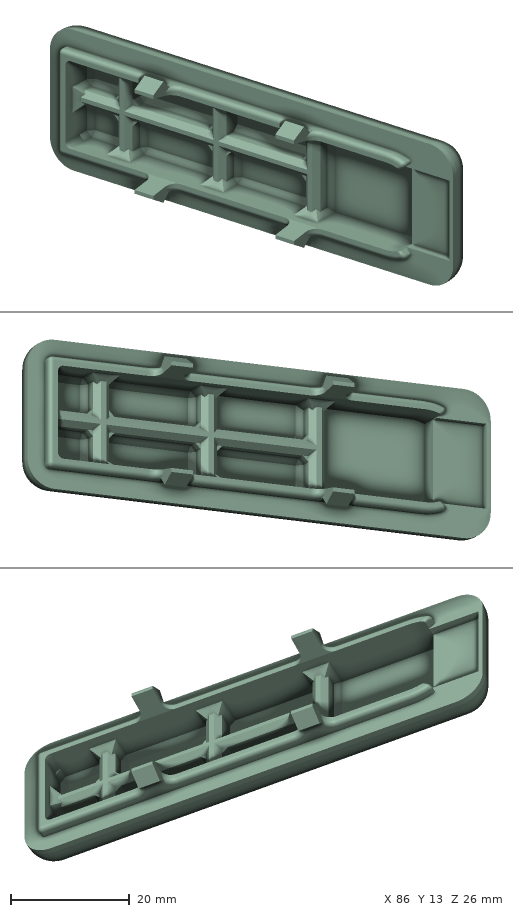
import cadquery as cq
import math

plate_length = 86.0
plate_height = 26.0
plate_depth = 6.0
edge_radius = 5.0
shell = 1.0

rail_left = -39.8
rail_half_height = 9.7
rail_wall = 1.6
rail_rise = 1.9
rail_round = 0.8
bend_start_x = 30.0
bend_radius = 10.0
rail_tip_x = 34.5
rail_tip_round = 0.5
inner_bend_radius = bend_radius - rail_wall

cavity_left = rail_left + rail_wall
cavity_half_height = rail_half_height - rail_wall
cavity_corner_radius = 1.0
cavity_floor_y = plate_depth - shell
recess_left = 33.0
recess_right = 42.2
recess_half_height = 7.4
recess_depth = 1.5

rib_chamfer = 1.0
rib_top_y = 1.0
cross_rib_xs = (-28.4, -8.4, 11.6)
cross_rib_top = 1.0
long_rib_top = 0.8
cross_rib_half = cross_rib_top / 2 + rib_chamfer
long_rib_half = long_rib_top / 2 + rib_chamfer

clip_xs = (-17.5, 12.5)
clip_width = 4.0
clip_root_radius = 1.9
clip_length = 7.0
barb_start = 2.75
barb_peak = 4.25
barb_half_height = 11.2
clip_tip_inner = 8.95
clip_tip_outer = 9.65


def prism_along_y(outline, y_from, y_to):
    """Extrude an XZ outline from one Y level to another."""
    return outline.extrude(y_from - y_to).translate((0, y_from, 0))


def xz_box(x_from, x_to, z_from, z_to, y_from, y_to):
    size = (x_to - x_from, y_to - y_from, z_to - z_from)
    return cq.Workplane("XY").box(*size, centered=False).translate((x_from, y_from, z_from))


def both_sides(upper):
    """Join a feature of the +Z half with its mirror image in the -Z half."""
    return upper.union(upper.mirror("XY"))


def bend_point(radius, angle):
    """Point on an arm's bend, at an angle measured from the start of the bend."""
    bend_centre_z = rail_half_height - bend_radius
    return (bend_start_x + radius * math.sin(angle), bend_centre_z + radius * math.cos(angle))


def bend_angle_at(radius, x):
    """Angle from the start of the bend at which an arc of this radius reaches a given X."""
    return math.asin((x - bend_start_x) / radius)


def make_plate():
    plate = cq.Workplane("XY").box(plate_length, plate_depth, plate_height)
    plate = plate.translate((0, plate_depth / 2, 0))
    return plate.edges("|Y").fillet(edge_radius).faces(">Y").edges().fillet(edge_radius)


def make_cavity():
    end_angle = bend_angle_at(inner_bend_radius, recess_left)
    end_x, end_z = bend_point(inner_bend_radius, end_angle)
    mid_x, mid_z = bend_point(inner_bend_radius, end_angle / 2)
    outline = (
        cq.Workplane("XZ")
        .moveTo(cavity_left, -cavity_half_height)
        .lineTo(bend_start_x, -cavity_half_height)
        .threePointArc((mid_x, -mid_z), (end_x, -end_z))
        .lineTo(end_x, end_z)
        .threePointArc((mid_x, mid_z), (bend_start_x, cavity_half_height))
        .lineTo(cavity_left, cavity_half_height)
        .close()
    )
    cavity = prism_along_y(outline, -rail_rise, cavity_floor_y)
    return cavity.edges("|Y and <X").fillet(cavity_corner_radius)


def make_recess():
    return xz_box(recess_left, recess_right, -recess_half_height, recess_half_height, 0, recess_depth)


def make_rail_arm():
    """Upper arm of the rail with the clip roots swept up from its top edge."""
    outer_angle = bend_angle_at(bend_radius, rail_tip_x)
    inner_angle = bend_angle_at(inner_bend_radius, recess_left)
    outline = (
        cq.Workplane("XZ")
        .moveTo(rail_left, 0)
        .lineTo(rail_left, rail_half_height)
        .lineTo(bend_start_x, rail_half_height)
        .threePointArc(bend_point(bend_radius, outer_angle / 2), bend_point(bend_radius, outer_angle))
        .lineTo(*bend_point(inner_bend_radius, inner_angle))
        .threePointArc(bend_point(inner_bend_radius, inner_angle / 2), (bend_start_x, cavity_half_height))
        .lineTo(cavity_left, cavity_half_height)
        .lineTo(cavity_left, 0)
        .close()
    )
    arm = prism_along_y(outline, -rail_rise, 0)
    arm = arm.edges("|Y").edges("<X").edges(">Z").fillet(rail_round)
    inner_corner = (cavity_left, -rail_rise / 2, cavity_half_height)
    inner_edge = cq.selectors.NearestToPointSelector(inner_corner)
    arm = arm.edges("|Y").edges(inner_edge).fillet(cavity_corner_radius)
    for clip_x in clip_xs:
        arm = arm.union(make_clip_root(clip_x))
    arm = round_outer_edge(arm)
    return arm.edges("|Y").edges(">X").fillet(rail_tip_round)


def round_outer_edge(arm):
    """Round the arm's outer top edge, from the left wall along the clip roots to the tip."""
    margin = rail_round / 8
    outer_zone = cq.selectors.BoxSelector(
        (-plate_length, -rail_rise - clip_root_radius + margin, cavity_half_height + margin),
        (plate_length, -rail_rise + margin, plate_height),
    )
    arm_top = arm.edges("not |Z").edges(outer_zone)
    left_top = arm.edges("|Z").edges("<X").edges("<Y")
    return arm_top.add(left_top).fillet(rail_round)


def make_clip_root(clip_x):
    """Web under a clip, flared at both sides by arcs that start on the rail top."""
    half = clip_width / 2
    root_y = -rail_rise - clip_root_radius
    sweep = clip_root_radius * (1 - math.sqrt(0.5))
    outline = (
        cq.Workplane("XY", origin=(clip_x, 0, cavity_half_height))
        .moveTo(-half - clip_root_radius, -rail_rise)
        .threePointArc((-half - sweep, -rail_rise - sweep), (-half, root_y))
        .lineTo(half, root_y)
        .threePointArc((half + sweep, -rail_rise - sweep), (half + clip_root_radius, -rail_rise))
        .close()
    )
    return outline.extrude(rail_wall)


def make_clip(clip_x):
    """Barbed clip on the upper arm; its inner face leans outward from the rail top to the tip."""
    rail_mid_y = -rail_rise / 2
    outline = (
        cq.Workplane("YZ", origin=(clip_x - clip_width / 2, 0, 0))
        .moveTo(rail_mid_y, cavity_half_height)
        .lineTo(-rail_rise, cavity_half_height)
        .lineTo(-clip_length, clip_tip_inner)
        .lineTo(-clip_length, clip_tip_outer)
        .lineTo(-barb_peak, barb_half_height)
        .lineTo(-barb_start, rail_half_height)
        .lineTo(rail_mid_y, rail_half_height)
        .close()
    )
    return outline.extrude(clip_width)


def make_rail_arm_with_clips():
    arm = make_rail_arm()
    for clip_x in clip_xs:
        arm = arm.union(make_clip(clip_x))
    return arm.cut(make_clip_relief())


def make_clip_relief():
    """Wedge above the rail top that leans the inside of the clip roots outward."""
    outline = (
        cq.Workplane("YZ", origin=(-plate_length / 2, 0, 0))
        .moveTo(-rail_rise, cavity_half_height - rail_wall)
        .lineTo(-rail_rise, cavity_half_height)
        .lineTo(-clip_length, clip_tip_inner)
        .lineTo(-clip_length, cavity_half_height - rail_wall)
        .close()
    )
    return outline.extrude(plate_length)


def make_rib(length, half_width):
    """Rib running along +X from the origin: a flat top with a chamfer down to each side."""
    flat_half = half_width - rib_chamfer
    side_y = rib_top_y + rib_chamfer
    outline = (
        cq.Workplane("YZ")
        .moveTo(cavity_floor_y, -half_width)
        .lineTo(side_y, -half_width)
        .lineTo(rib_top_y, -flat_half)
        .lineTo(rib_top_y, flat_half)
        .lineTo(side_y, half_width)
        .lineTo(cavity_floor_y, half_width)
        .close()
    )
    return outline.extrude(length)


def make_flare(half_width):
    """Bevelled flare where a rib meets a wall.

    The wall lies on Z = 0 with the rib running to -Z along X = 0. The flare widens toward the
    wall at 45 degrees in plan and climbs the wall at 45 degrees above the rib top.
    """
    flat_half = half_width - rib_chamfer
    wall_half = half_width + rib_chamfer
    reach = 2 * rib_chamfer
    plan = (
        cq.Workplane("XZ")
        .moveTo(-wall_half, 0)
        .lineTo(wall_half, 0)
        .lineTo(flat_half, -reach)
        .lineTo(-flat_half, -reach)
        .close()
    )
    wall_top_y = rib_top_y - rib_chamfer
    slope = (
        cq.Workplane("YZ", origin=(-wall_half, 0, 0))
        .moveTo(wall_top_y, 0)
        .lineTo(wall_top_y + reach, -reach)
        .lineTo(cavity_floor_y, -reach)
        .lineTo(cavity_floor_y, 0)
        .close()
        .extrude(2 * wall_half)
    )
    return prism_along_y(plan, wall_top_y, cavity_floor_y).intersect(slope)


def make_cell_edging(x_from, x_to, row_side, has_bare_edges=False):
    """Chamfer material along the floor and in the upright corners of one cell between the ribs.

    A cell with bare edges has no floor chamfer on its left side and along the rail.
    """
    side_y = rib_top_y + rib_chamfer
    cell = xz_box(x_from, x_to, long_rib_half, cavity_half_height, side_y, cavity_floor_y)
    if has_bare_edges:
        hollow = cell.edges("|Y and <Z and >X").chamfer(rib_chamfer)
        hollow = hollow.faces(">Y").edges("not (<X or >Z)").chamfer(rib_chamfer)
    else:
        hollow = cell.edges("|Y or >Y").chamfer(rib_chamfer)
    edging = cell.cut(hollow)
    return edging if row_side > 0 else edging.mirror("XY")


def make_ribs():
    """Long rib from the left wall to the last cross rib, the cross ribs and their flared ends."""
    long_rib = make_rib(cross_rib_xs[-1] - cavity_left, long_rib_half)
    long_flare = make_flare(long_rib_half).rotate((0, 0, 0), (0, 1, 0), -90)
    ribs = long_rib.union(long_flare).translate((cavity_left, 0, 0))
    for rib_x in cross_rib_xs:
        rib = make_rib(2 * cavity_half_height, cross_rib_half).rotate((0, 0, 0), (0, 1, 0), 90)
        flare = make_flare(cross_rib_half).translate((rib_x, 0, cavity_half_height))
        ribs = ribs.union(rib.translate((rib_x, 0, cavity_half_height)))
        ribs = ribs.union(both_sides(flare))
    return ribs


def make_all_edging():
    """Edging of both rows of cells, from the left wall to the last cross rib."""
    edging = cq.Workplane("XY")
    cell_left = cavity_left
    for rib_x in cross_rib_xs:
        cell_right = rib_x - cross_rib_half
        for row_side in (1, -1):
            has_bare_edges = rib_x == cross_rib_xs[-1] and row_side > 0
            edging = edging.add(make_cell_edging(cell_left, cell_right, row_side, has_bare_edges))
        cell_left = rib_x + cross_rib_half
    return edging.combine()


def make_open_floor_edging():
    """Floor chamfer on the +X side of the last cross rib, which faces the open end."""
    side_x = cross_rib_xs[-1] + cross_rib_half
    outline = (
        cq.Workplane("XY", origin=(0, 0, -cavity_half_height))
        .moveTo(side_x, cavity_floor_y)
        .lineTo(side_x, cavity_floor_y - rib_chamfer)
        .lineTo(side_x + rib_chamfer, cavity_floor_y)
        .close()
    )
    return outline.extrude(2 * cavity_half_height)


plate = make_plate().cut(make_cavity()).cut(make_recess())
rail = both_sides(make_rail_arm_with_clips())
ribbing = make_ribs().union(make_all_edging()).union(make_open_floor_edging())
result = plate.union(rail).union(ribbing)